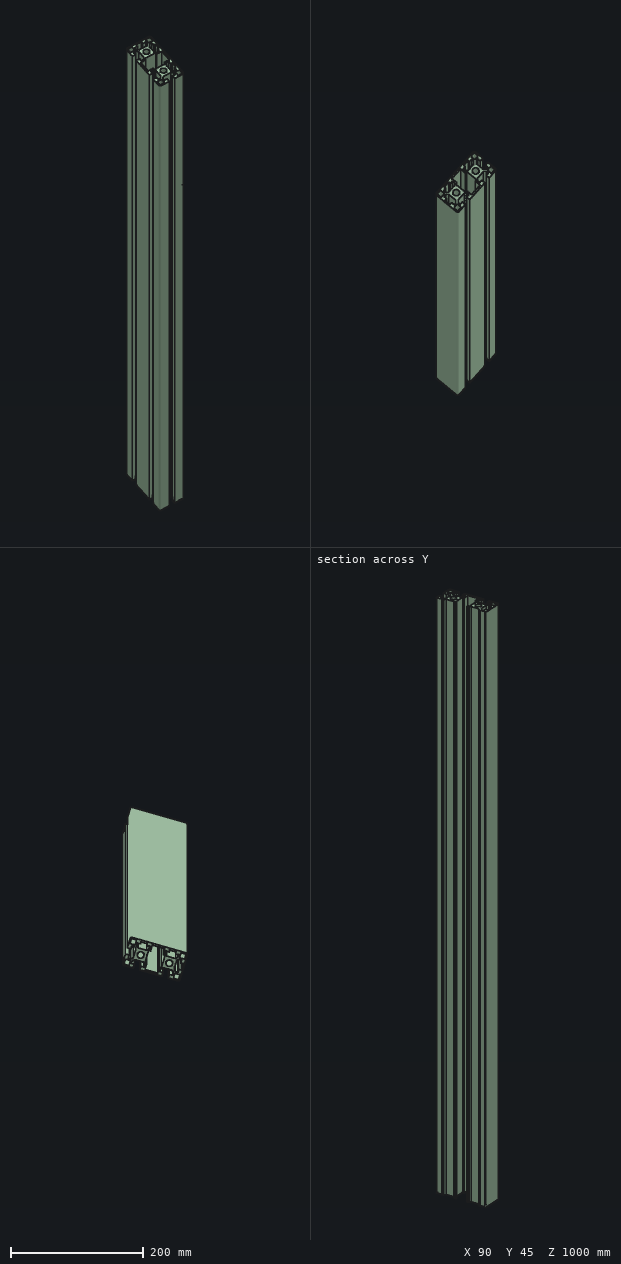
import cadquery as cq

length = 1000.0
module = 45.0
width = 2 * module
half_module = module / 2
corner_radius = 3.0

slot_opening = 10.0
slot_half_width = 10.0
slot_floor = 9.5
slot_taper = 3.0
lip_thickness = 6.0

side_skin = 2.0
outer_skin = 3.0

core_bore_diameter = 10.0
corner_chamber_size = 8.0
corner_chamber_skin = 2.0
corner_chamber_radius = 1.0
middle_half_width = 10.0
waist_half_width = half_module - slot_floor
waist_half_height = 10.0

module_centres = [-half_module, half_module]


def prism(points):
    """Extrude a closed outline over the full length of the bar."""
    return cq.Workplane("XY").polyline(points).close().extrude(length)


def t_slot(skin=0.0):
    """T-slot that opens toward -Y of a module; a skin closes its mouth."""
    mouth = half_module - skin
    lip = half_module - lip_thickness
    half_opening = slot_opening / 2
    right_side = [
        (half_opening, -mouth),
        (half_opening, -lip),
        (slot_half_width, -lip),
        (slot_half_width, -slot_floor - slot_taper),
        (slot_half_width - slot_taper, -slot_floor),
    ]
    left_side = [(-x, y) for x, y in reversed(right_side)]
    return prism(right_side + left_side)


def place_slot(slot, angle, centre_x):
    """Turn a slot about the module axis and move it to a module."""
    return slot.rotate((0, 0, 0), (0, 0, 1), angle).translate((centre_x, 0, 0))


def corner_chambers():
    """Hollow chambers in the four outer corners of the bar."""
    inset = corner_chamber_skin + corner_chamber_size / 2
    return (
        cq.Workplane("XY")
        .rect(width - 2 * inset, module - 2 * inset, forConstruction=True)
        .vertices()
        .rect(corner_chamber_size, corner_chamber_size)
        .extrude(length)
        .edges("|Z")
        .fillet(corner_chamber_radius)
    )


def middle_chamber():
    """Chamber between the two cores, wider beside the cores."""
    chamber = cq.Workplane("XY").rect(2 * middle_half_width, module - 2 * outer_skin).extrude(length)
    waist = cq.Workplane("XY").rect(2 * waist_half_width, 2 * waist_half_height).extrude(length)
    return chamber.union(waist)


def core_bores():
    """Round bore along the axis of each module."""
    centres = [(x, 0) for x in module_centres]
    return cq.Workplane("XY").pushPoints(centres).circle(core_bore_diameter / 2).extrude(length)


bar = cq.Workplane("XY").rect(width, module).extrude(length).edges("|Z").fillet(corner_radius)

for centre in module_centres:
    bar = bar.cut(place_slot(t_slot(), 0, centre))
    bar = bar.cut(place_slot(t_slot(outer_skin), 180, centre))

bar = bar.cut(place_slot(t_slot(), 90, half_module))
bar = bar.cut(place_slot(t_slot(side_skin), -90, -half_module))

result = bar.cut(corner_chambers()).cut(middle_chamber()).cut(core_bores())